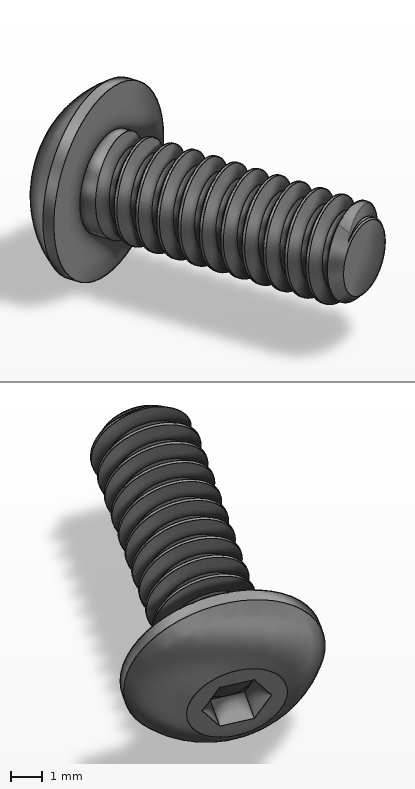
import cadquery as cq
import math

total_length = 11.38

head_radius = 3.32
face_radius = head_radius / 2
dome_height = 1.46
rim_thickness = 0.41
dome_bulge = 0.17
head_height = dome_height + rim_thickness

socket_flats = 1.98
socket_depth = 1.12
cone_angle = 120.0

major_radius = 1.75
root_radius = 1.32
tip_radius = 1.26
pitch_count = 12
pitch = (total_length - head_height) / pitch_count
flank_angle = 30.0
crest_flat = pitch / 8
groove_start_angle = -45.0
groove_start = head_height + 0.44
cutter_overshoot = 0.03
blank_seam_angle = 120.0


def make_blank():
    """Revolve the head, the plain shank and its 45-degree tip chamfer."""
    slant = math.hypot(dome_height, head_radius - face_radius)
    bulge_x = dome_height / 2 - dome_bulge * (head_radius - face_radius) / slant
    bulge_radius = (face_radius + head_radius) / 2 + dome_bulge * dome_height / slant
    tip_chamfer = major_radius - tip_radius
    return (
        cq.Workplane("XY")
        .lineTo(0, face_radius)
        .threePointArc((bulge_x, bulge_radius), (dome_height, head_radius))
        .lineTo(head_height, head_radius)
        .lineTo(head_height, major_radius)
        .lineTo(total_length - tip_chamfer, major_radius)
        .lineTo(total_length, tip_radius)
        .lineTo(total_length, 0)
        .close()
        .revolve(360, (0, 0, 0), (1, 0, 0))
        .rotate((0, 0, 0), (1, 0, 0), blank_seam_angle)
    )


def make_socket():
    """Hexagonal prism with two corners along Y, ending in an inscribed cone."""
    socket_corners = socket_flats / math.cos(math.radians(30))
    cone_radius = socket_flats / 2
    cone_depth = cone_radius / math.tan(math.radians(cone_angle / 2))
    prism = cq.Workplane("YZ").polygon(6, socket_corners).extrude(socket_depth)
    cone = cq.Solid.makeCone(
        cone_radius, 0, cone_depth, cq.Vector(socket_depth, 0, 0), cq.Vector(1, 0, 0)
    )
    return prism.union(cq.Workplane(cone))


def make_thread_groove():
    """Right-handed groove starting between -Z and +Y and running out past the tip."""
    flank_slope = math.tan(math.radians(flank_angle))
    outer_radius = major_radius + cutter_overshoot
    crest_half_width = (pitch - crest_flat) / 2
    root_half_width = crest_half_width - (major_radius - root_radius) * flank_slope
    outer_half_width = crest_half_width + cutter_overshoot * flank_slope
    helix_length = total_length - groove_start + pitch
    start = cq.Vector(groove_start, 0, 0)
    helix = (
        cq.Wire.makeHelix(pitch, helix_length, root_radius)
        .rotate(cq.Vector(), cq.Vector(1, 1, 1), 120)
        .translate(start)
    )
    profile = cq.Workplane("XY").polyline(
        [
            (groove_start - root_half_width, root_radius),
            (groove_start - outer_half_width, outer_radius),
            (groove_start + outer_half_width, outer_radius),
            (groove_start + root_half_width, root_radius),
        ]
    ).close()
    groove = profile.sweep(cq.Workplane(helix), isFrenet=True)
    return groove.rotate((0, 0, 0), (1, 0, 0), groove_start_angle)


result = make_blank().cut(make_thread_groove()).cut(make_socket())